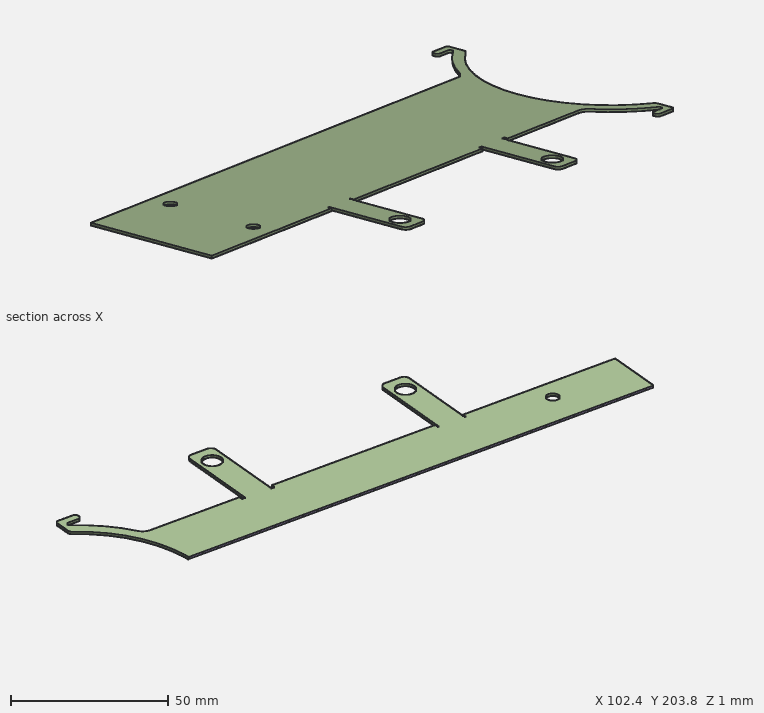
import cadquery as cq
import math

thickness = 1.0
length = 203.8
strip_width = 50.0
half_strip = strip_width / 2

cradle_radius = 46.3
cradle_bottom = 182.2
arm_width = 4.0
arm_outer_radius = cradle_radius + arm_width
cradle_center = cradle_bottom + cradle_radius
arm_root_fillet = 4.0
arm_tip_fillet = 1.6

hook_half_span = 46.9
hook_width = 2.9
hook_length = 8.2
hook_bridge = 2.2
hook_corner_radius = 1.0
hook_end_radius = 1.2
hook_inner_radius = 0.8

tabs = [(141.0, 1.2), (65.2, 0.5)]
tab_end = 55.5
tab_width = 10.2
tab_corner_radius = 2.0
tab_hole_diameter = 7.0
tab_hole_x = 48.5
relief_depth = 1.5

mount_hole_diameter = 4.5
mount_hole_spacing = 34.2
mount_hole_y = 30.2


def cradle_arc_x(radius, y):
    """Half-width at height y of a circle about the cradle centre."""
    return math.sqrt(radius**2 - (cradle_center - y) ** 2)


def cradle_arc_y(radius, x):
    """Height at half-width x of the lower half of such a circle."""
    return cradle_center - math.sqrt(radius**2 - x**2)


def block(x_min, x_max, y_min, y_max):
    """Rectangular piece of the sheet."""
    return (
        cq.Workplane("XY")
        .box(x_max - x_min, y_max - y_min, thickness, centered=False)
        .translate((x_min, y_min, 0))
    )


def fillet_corner(body, x, y, radius):
    """Round the upright edge at the point (x, y)."""
    return body.edges(cq.selectors.NearestToPointSelector((x, y, thickness / 2))).fillet(radius)


def half_plate():
    """Right half of the strip with its arm and hook."""
    hook_inside = hook_half_span - hook_width
    hook_end = length - hook_length
    bridge_bottom = length - hook_bridge
    arm_tip_x = cradle_arc_x(cradle_radius, length)
    gap_x = cradle_arc_x(arm_outer_radius, bridge_bottom)
    arm_root_y = cradle_arc_y(arm_outer_radius, half_strip)
    outer_mid_x = (half_strip + gap_x) / 2
    inner_mid_x = arm_tip_x / 2

    body = (
        cq.Workplane("XY")
        .lineTo(half_strip, 0)
        .lineTo(half_strip, arm_root_y)
        .threePointArc(
            (outer_mid_x, cradle_arc_y(arm_outer_radius, outer_mid_x)),
            (gap_x, bridge_bottom),
        )
        .lineTo(hook_inside, bridge_bottom)
        .lineTo(hook_inside, hook_end)
        .lineTo(hook_half_span, hook_end)
        .lineTo(hook_half_span, length)
        .lineTo(arm_tip_x, length)
        .threePointArc(
            (inner_mid_x, cradle_arc_y(cradle_radius, inner_mid_x)),
            (0, cradle_bottom),
        )
        .close()
        .extrude(thickness)
    )
    rounded_corners = [
        (half_strip, arm_root_y, arm_root_fillet),
        (gap_x, bridge_bottom, hook_inner_radius),
        (hook_inside, bridge_bottom, hook_inner_radius),
        (hook_inside, hook_end, hook_end_radius),
        (hook_half_span, hook_end, hook_end_radius),
        (hook_half_span, length, hook_corner_radius),
        (arm_tip_x, length, arm_tip_fillet),
    ]
    for x, y, radius in rounded_corners:
        body = fillet_corner(body, x, y, radius)
    return body


def add_tab(body, center_y, relief_width):
    """Add a drilled tab on the +X edge, with a relief cut on each side."""
    root_x = half_strip - relief_depth
    slot_half = tab_width / 2 + relief_width
    relief = block(root_x, half_strip, center_y - slot_half, center_y + slot_half)
    tab = (
        block(root_x, tab_end, center_y - tab_width / 2, center_y + tab_width / 2)
        .edges("|Z and >X")
        .fillet(tab_corner_radius)
    )
    hole = (
        cq.Workplane("XY")
        .center(tab_hole_x, center_y)
        .circle(tab_hole_diameter / 2)
        .extrude(thickness)
    )
    return body.cut(relief).union(tab.cut(hole))


right_half = half_plate()
result = right_half.union(right_half.mirror("YZ")).clean()

for tab_y, tab_relief in tabs:
    result = add_tab(result, tab_y, tab_relief)

mount_holes = (
    cq.Workplane("XY")
    .pushPoints([(side * mount_hole_spacing / 2, mount_hole_y) for side in (-1, 1)])
    .circle(mount_hole_diameter / 2)
    .extrude(thickness)
)
result = result.cut(mount_holes)